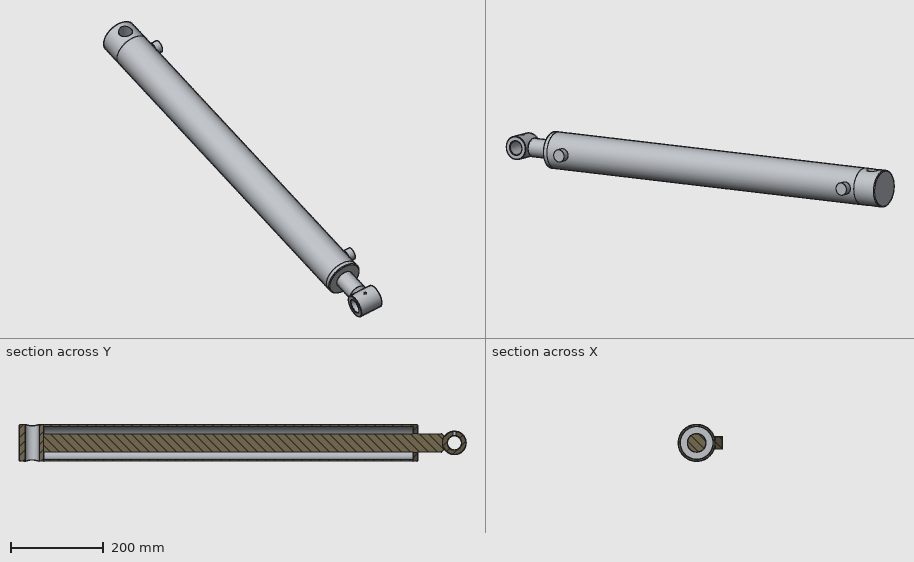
import cadquery as cq

total_length = 963.0
barrel_diameter = 80.0
barrel_radius = barrel_diameter / 2

cap_length = 53.0
cap_chamfer = 2.0
cross_hole_diameter = 30.0
cross_hole_x = 28.0

bore_diameter = 70.0
barrel_end_x = 848.0

gland_end_x = 859.0
gland_chamfer = 2.0

rod_diameter = 40.0
rod_shoulder_x = 910.0
rod_taper = 8.0

eye_diameter = 51.0
eye_bore_diameter = 30.0
eye_width = 55.0
eye_chamfer = 1.2
eye_x = total_length - eye_diameter / 2
grease_hole_diameter = 6.0

port_diameter = 27.0
overall_width = 95.0
port_end_y = overall_width - barrel_radius
port_positions_x = [75.0, 807.0]


def cylinder_along_x(diameter, start_x, end_x):
    return cq.Workplane("YZ", origin=(start_x, 0, 0)).circle(diameter / 2).extrude(end_x - start_x)


def cylinder_along_y(diameter, x, start_y, end_y):
    return cq.Workplane("XZ", origin=(x, start_y, 0)).circle(diameter / 2).extrude(start_y - end_y)


def cylinder_along_z(diameter, x, start_z, end_z):
    return cq.Workplane("XY", origin=(x, 0, start_z)).circle(diameter / 2).extrude(end_z - start_z)


def make_base_cap():
    cap = cylinder_along_x(barrel_diameter, 0, cap_length)
    cap = cap.faces("<X").edges().chamfer(cap_chamfer)
    return cap.cut(cylinder_along_z(cross_hole_diameter, cross_hole_x, -barrel_radius, barrel_radius))


def make_barrel():
    outside = cylinder_along_x(barrel_diameter, cap_length, barrel_end_x)
    return outside.cut(cylinder_along_x(bore_diameter, cap_length, barrel_end_x))


def make_gland():
    gland = cylinder_along_x(barrel_diameter, barrel_end_x, gland_end_x)
    gland = gland.faces(">X").edges().chamfer(gland_chamfer)
    return gland.cut(cylinder_along_x(rod_diameter, barrel_end_x, gland_end_x))


def make_rod():
    """Rod from the base cap through the gland, its tip hollowed to seat on the eye."""
    rod = cylinder_along_x(rod_diameter, cap_length, rod_shoulder_x + rod_taper)
    rod = rod.faces(">X").edges().chamfer(rod_taper)
    return rod.cut(cylinder_along_y(eye_diameter, eye_x, -eye_width / 2, eye_width / 2))


def make_rod_eye():
    """Sleeve with chamfered rims and a grease hole from the top into its bore."""
    eye = cylinder_along_y(eye_diameter, eye_x, -eye_width / 2, eye_width / 2)
    eye = eye.cut(cylinder_along_y(eye_bore_diameter, eye_x, -eye_width / 2, eye_width / 2))
    eye = eye.faces("<Y or >Y").edges().chamfer(eye_chamfer)
    return eye.cut(cylinder_along_z(grease_hole_diameter, eye_x, 0, eye_diameter / 2))


def make_port(x):
    """Flat-ended port resting on the side of the barrel."""
    return cylinder_along_y(port_diameter, x, barrel_radius, port_end_y)


base_cap = make_base_cap()
barrel = make_barrel()
gland = make_gland()
rod = make_rod()
rod_eye = make_rod_eye()
ports = [make_port(x) for x in port_positions_x]

result = cq.Compound.makeCompound(
    [base_cap.val(), barrel.val(), gland.val(), rod.val(), rod_eye.val(), *[port.val() for port in ports]]
)